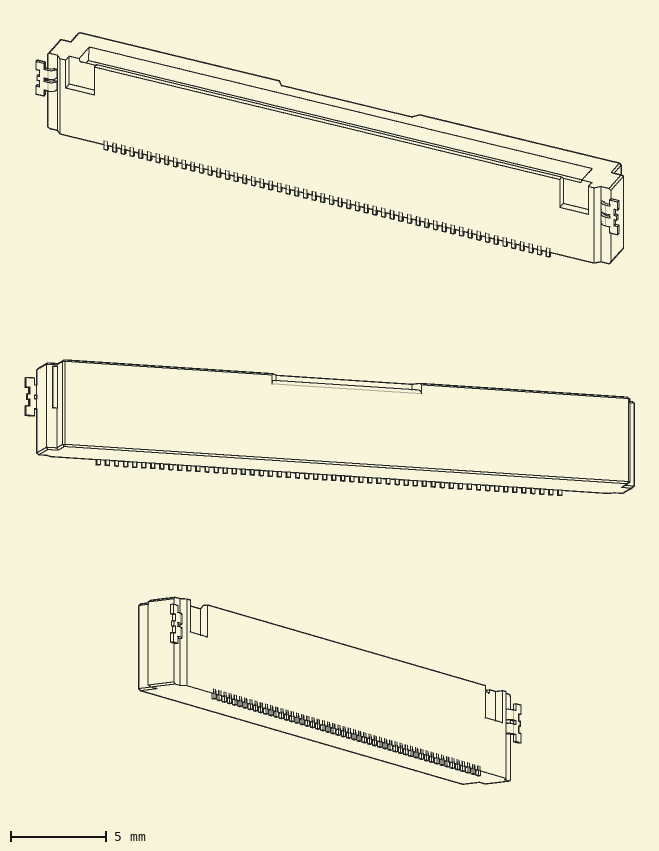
import cadquery as cq
import math

LENGTH = 33.5
DEPTH = 2.95
TOTAL_HEIGHT = 4.9
PIN_DROP = 0.27
HEIGHT = TOTAL_HEIGHT - PIN_DROP

FRONT_FACE_Y = 0.05
FRONT_HALF = 15.38
BEVEL_HALF = 15.65
SHOULDER_FRONT_Y = 0.3
SIDE_HALF = 16.2
SHOULDER_BACK_Y = 1.9
BACK_HALF = 15.65
EDGE_CHAMFER = 0.1

SLOT_HALF = 14.47
SLOT_FRONT_Y = 0.3
SLOT_BACK_Y = 1.75
FLOOR_HALF = 14.3
FLOOR_FRONT_Y = 0.8
FLOOR_BACK_Y = 1.25
SLOT_DEPTH = 0.5

WINDOW_INNER = 13.4
WINDOW_OUTER = 15.05
WINDOW_HEIGHT = 1.7
WINDOW_BACK_Y = 0.47

RECESS_HALF = 4.12
RECESS_INNER_HALF = 3.75
RECESS_WIDTH = 0.47
RECESS_DEPTH = 0.57

PIN_COUNT = 52
PIN_ROW_SPAN = 25.45
PIN_PITCH = PIN_ROW_SPAN / (PIN_COUNT - 1)
PIN_WIDTH = 0.2
PIN_THICKNESS = 0.15
PIN_TOP_Z = 0.25

TAB_THICKNESS = 0.17
TAB_CENTER_Z = 3.1
TAB_HALF_HEIGHT = 1.0
TAB_INNER_X = 16.28
TAB_NOTCH_DEPTH = 0.2
TAB_TOOTH_SETBACK = 0.07
TAB_NOTCH_INNER = 0.15
TAB_NOTCH_OUTER = 0.5
ARM_INNER = 0.1
ARM_OUTER = 0.65
ARM_ROOT_X = 15.65
ARM_BEND_RADIUS = 0.4

ANCHOR_HALF = 15.88
ANCHOR_BACK_Y = 2.0
ANCHOR_BOTTOM_Z = 2.2
ANCHOR_TOP_Z = 4.42


def make_body():
    """Stepped plan outline extruded to full height, chamfered on the back and ends."""
    half = [
        (FRONT_HALF, FRONT_FACE_Y),
        (BEVEL_HALF, SHOULDER_FRONT_Y),
        (SIDE_HALF, SHOULDER_FRONT_Y),
        (SIDE_HALF, SHOULDER_BACK_Y),
        (BACK_HALF, SHOULDER_BACK_Y),
        (BACK_HALF, DEPTH),
    ]
    mirrored = [(-x, y) for x, y in reversed(half)]
    body = cq.Workplane("XY").polyline(half + mirrored).close().extrude(HEIGHT)
    rim = cq.selectors.BoxSelector(
        (-LENGTH, SHOULDER_FRONT_Y + EDGE_CHAMFER, -HEIGHT), (LENGTH, 2 * DEPTH, 2 * HEIGHT)
    )
    body = body.edges("|Z").edges(">Y").chamfer(EDGE_CHAMFER)
    return body.faces("<Z or >Z").edges(rim).chamfer(EDGE_CHAMFER)


def rectangle_at(z, half_length, front_y, back_y):
    """Closed rectangular wire at height z."""
    return (
        cq.Workplane("XY", origin=(0, (front_y + back_y) / 2, z))
        .rect(2 * half_length, back_y - front_y)
        .val()
    )


def make_slot():
    """Tapered trough with walls sloping inward from the top face to the slot floor."""
    wires = [
        rectangle_at(HEIGHT - SLOT_DEPTH, FLOOR_HALF, FLOOR_FRONT_Y, FLOOR_BACK_Y),
        rectangle_at(HEIGHT, SLOT_HALF, SLOT_FRONT_Y, SLOT_BACK_Y),
    ]
    return cq.Workplane(cq.Solid.makeLoft(wires, True))


def make_window():
    """Rectangular pocket in the front face at the +X end, open at the top."""
    return cq.Workplane("XY").box(
        WINDOW_OUTER - WINDOW_INNER, WINDOW_BACK_Y, WINDOW_HEIGHT, centered=False
    ).translate((WINDOW_INNER, 0, HEIGHT - WINDOW_HEIGHT))


def make_finger_recess():
    """Slant-ended notch in the top back edge, leaving a half-round bar along its floor."""
    floor_z = HEIGHT - RECESS_DEPTH
    bar_radius = RECESS_WIDTH / 2
    notch = (
        cq.Workplane("XY", origin=(0, 0, floor_z))
        .polyline([
            (-RECESS_HALF, DEPTH),
            (-RECESS_INNER_HALF, DEPTH - RECESS_WIDTH),
            (RECESS_INNER_HALF, DEPTH - RECESS_WIDTH),
            (RECESS_HALF, DEPTH),
        ])
        .close()
        .extrude(RECESS_DEPTH)
    )
    bar = (
        cq.Workplane("YZ", origin=(-RECESS_HALF, DEPTH - bar_radius, floor_z))
        .circle(bar_radius)
        .extrude(2 * RECESS_HALF)
    )
    return notch.cut(bar)


def make_pin(x):
    """Contact tail that slopes out of the front face and drops below the body."""
    return (
        cq.Workplane("YZ", origin=(x - PIN_WIDTH / 2, 0, 0))
        .polyline([
            (0, -PIN_DROP),
            (PIN_THICKNESS, -PIN_DROP),
            (PIN_THICKNESS, PIN_TOP_Z),
            (FRONT_FACE_Y, PIN_TOP_Z),
            (0, 0),
        ])
        .close()
        .extrude(PIN_WIDTH)
    )


def make_tab():
    """Solder tab at the +X end: a notched plate on two arms bent back to the body."""
    tip = LENGTH / 2
    upper_edge = [
        (TAB_INNER_X, TAB_HALF_HEIGHT),
        (tip, TAB_HALF_HEIGHT),
        (tip, TAB_NOTCH_OUTER),
        (tip - TAB_NOTCH_DEPTH, TAB_NOTCH_OUTER),
        (tip - TAB_NOTCH_DEPTH, TAB_NOTCH_INNER),
        (tip - TAB_TOOTH_SETBACK, TAB_NOTCH_INNER),
    ]
    lower_edge = [(x, -z) for x, z in reversed(upper_edge)]
    tab = (
        cq.Workplane("XZ", origin=(0, 0, TAB_CENTER_Z))
        .polyline(upper_edge + lower_edge)
        .close()
        .extrude(-TAB_THICKNESS)
    )
    bend_x = ARM_ROOT_X + ARM_BEND_RADIUS
    outer_mid = ARM_BEND_RADIUS * math.sin(math.pi / 4)
    inner_mid = (ARM_BEND_RADIUS - TAB_THICKNESS) * math.sin(math.pi / 4)
    for bottom in (ARM_INNER, -ARM_OUTER):
        arm = (
            cq.Workplane("XY", origin=(0, 0, TAB_CENTER_Z + bottom))
            .moveTo(TAB_INNER_X, 0)
            .lineTo(bend_x, 0)
            .threePointArc(
                (bend_x - outer_mid, ARM_BEND_RADIUS - outer_mid),
                (ARM_ROOT_X, ARM_BEND_RADIUS),
            )
            .lineTo(ARM_ROOT_X + TAB_THICKNESS, ARM_BEND_RADIUS)
            .threePointArc(
                (bend_x - inner_mid, ARM_BEND_RADIUS - inner_mid),
                (bend_x, TAB_THICKNESS),
            )
            .lineTo(TAB_INNER_X, TAB_THICKNESS)
            .close()
            .extrude(ARM_OUTER - ARM_INNER)
        )
        tab = tab.union(arm)
    return tab


def make_anchor():
    """Rectangular block on the rear shoulder at the +X end."""
    return cq.Workplane("XY").box(
        ANCHOR_HALF, ANCHOR_BACK_Y - SHOULDER_BACK_Y, ANCHOR_TOP_Z - ANCHOR_BOTTOM_Z, centered=False
    ).translate((0, SHOULDER_BACK_Y, ANCHOR_BOTTOM_Z))


result = make_body().cut(make_slot()).cut(make_finger_recess())

window = make_window()
tab = make_tab().union(make_anchor())
result = result.cut(window).cut(window.mirror("YZ"))
result = result.union(tab).union(tab.mirror("YZ"))

first_pin_x = -PIN_ROW_SPAN / 2
for index in range(PIN_COUNT):
    result = result.union(make_pin(first_pin_x + index * PIN_PITCH))